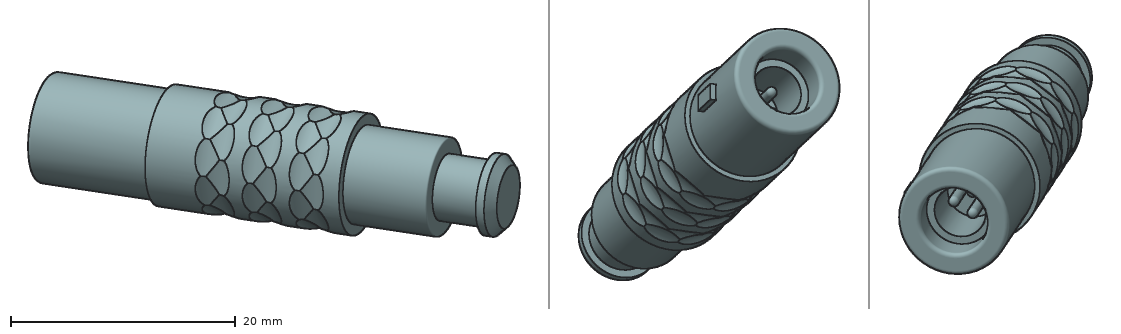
import cadquery as cq

LENGTH = 44.0

SHELL_RADIUS = 5.0
SHELL_ROUND = 0.4
COLLAR_RADIUS = 5.5
COLLAR_START = 11.5
COLLAR_END = 29.95
REAR_RADIUS = 4.5
REAR_END = 37.95
REAR_ROUND = 0.15

NECK_RADIUS = 3.05
FLANGE_RADIUS = 3.75
FLANGE_START = 42.35
FLANGE_CHAMFER = 0.9

SOCKET_RADIUS = 3.05
SOCKET_ROUND = 0.4
SOCKET_DEPTH = 2.95
INNER_SOCKET_RADIUS = 2.35
INNER_SOCKET_DEPTH = 8.8

PIN_COUNT = 3
PIN_RADIUS = 0.5
PIN_CIRCLE_RADIUS = 1.15
PIN_LENGTH = 3.5

KEY_START = 5.0
KEY_LENGTH = 3.12
KEY_WIDTH = 1.5

BAND_COUNT = 3
BAND_PITCH = 4.5
FIRST_ROW_X = 17.4
ROW_SPACING = 0.92
SCALLOPS_PER_ROW = 10
SCALLOP_RADIUS = 2.2
SCALLOP_DEPTH = 0.35


def cylinder_x(radius, start, end):
    return cq.Workplane("YZ", origin=(start, 0, 0)).circle(radius).extrude(end - start)


def make_body():
    shell = cylinder_x(SHELL_RADIUS, 0, COLLAR_START).faces("<X").edges().fillet(SHELL_ROUND)
    collar = cylinder_x(COLLAR_RADIUS, COLLAR_START, COLLAR_END)
    rear = cylinder_x(REAR_RADIUS, COLLAR_END, REAR_END).faces(">X").edges().fillet(REAR_ROUND)
    neck = cylinder_x(NECK_RADIUS, REAR_END, FLANGE_START)
    flange = cylinder_x(FLANGE_RADIUS, FLANGE_START, LENGTH).faces(">X").edges().chamfer(FLANGE_CHAMFER)
    return shell.union(collar).union(rear).union(neck).union(flange)


def make_key():
    key = cq.Workplane("XY").box(KEY_LENGTH, COLLAR_RADIUS, KEY_WIDTH, centered=(False, False, True))
    return key.translate((KEY_START, 0, 0))


def cut_socket(body):
    body = body.cut(cylinder_x(SOCKET_RADIUS, 0, SOCKET_DEPTH))
    body = body.cut(cylinder_x(INNER_SOCKET_RADIUS, SOCKET_DEPTH, INNER_SOCKET_DEPTH))
    mouth = cq.selectors.RadiusNthSelector(0)
    return body.faces("<X").edges(mouth).fillet(SOCKET_ROUND)


def make_pins():
    tip_x = INNER_SOCKET_DEPTH - PIN_LENGTH
    pin = cylinder_x(PIN_RADIUS, tip_x + PIN_RADIUS, INNER_SOCKET_DEPTH)
    pin = pin.union(cq.Workplane("XY").sphere(PIN_RADIUS).translate((tip_x + PIN_RADIUS, 0, 0)))
    pin = pin.translate((0, PIN_CIRCLE_RADIUS, 0))
    pins = cq.Workplane("XY")
    for i in range(PIN_COUNT):
        pins = pins.add(pin.rotate((0, 0, 0), (1, 0, 0), i * 360 / PIN_COUNT))
    return pins.combine()


def scallop_row(row_x, start_angle):
    """Cylinders around the collar; start_angle is measured from +Y about the X axis."""
    axis_distance = COLLAR_RADIUS - SCALLOP_DEPTH + SCALLOP_RADIUS
    cutter = cq.Solid.makeCylinder(
        SCALLOP_RADIUS,
        2 * COLLAR_RADIUS,
        cq.Vector(row_x, axis_distance, -COLLAR_RADIUS),
        cq.Vector(0, 0, 1),
    )
    step = 360 / SCALLOPS_PER_ROW
    origin = cq.Vector(0, 0, 0)
    x_axis = cq.Vector(1, 0, 0)
    return [cutter.rotate(origin, x_axis, start_angle + i * step) for i in range(SCALLOPS_PER_ROW)]


def cut_grip(body):
    half_step = 180 / SCALLOPS_PER_ROW
    solid = body.val()
    for band in range(BAND_COUNT):
        row_x = FIRST_ROW_X + band * BAND_PITCH
        solid = solid.cut(*scallop_row(row_x, half_step))
        solid = solid.cut(*scallop_row(row_x + ROW_SPACING, 0))
    return cq.Workplane(obj=solid)


body = make_body().union(make_key())
body = cut_socket(body).union(make_pins())
result = cut_grip(body)